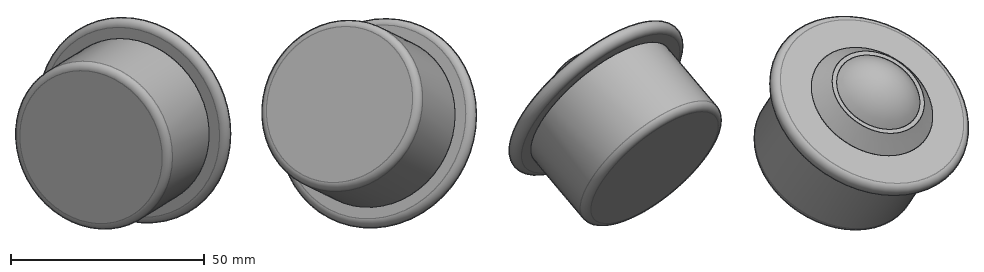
import cadquery as cq
import math

flange_diameter = 55.0
flange_thickness = 4.0
body_diameter = 45.0
body_length = 23.25
edge_radius = 2.0
collar_base_radius = 16.9
collar_top_radius = 12.8
collar_height = 4.3
ball_radius = 15.0
ball_rise = 9.75

flange_radius = flange_diameter / 2
body_radius = body_diameter / 2
rim_radius = flange_thickness / 2
end_y = -flange_thickness - body_length

ball_centre_y = ball_rise - ball_radius
ball_exit_radius = math.sqrt(ball_radius**2 - (collar_height - ball_centre_y) ** 2)

diagonal = math.sqrt(0.5)
end_arc_middle = (
    body_radius - edge_radius * (1 - diagonal),
    end_y + edge_radius * (1 - diagonal),
)
half_exit_angle = math.asin(ball_exit_radius / ball_radius) / 2
ball_arc_middle = (
    ball_radius * math.sin(half_exit_angle),
    ball_centre_y + ball_radius * math.cos(half_exit_angle),
)

profile = (
    cq.Workplane("XY")
    .moveTo(0, end_y)
    .lineTo(body_radius - edge_radius, end_y)
    .threePointArc(end_arc_middle, (body_radius, end_y + edge_radius))
    .lineTo(body_radius, -flange_thickness)
    .lineTo(flange_radius - rim_radius, -flange_thickness)
    .threePointArc((flange_radius, -rim_radius), (flange_radius - rim_radius, 0))
    .lineTo(collar_base_radius, 0)
    .lineTo(collar_top_radius, collar_height)
    .lineTo(ball_exit_radius, collar_height)
    .threePointArc(ball_arc_middle, (0, ball_rise))
    .close()
)

result = profile.revolve(360, (0, 0, 0), (0, 1, 0))